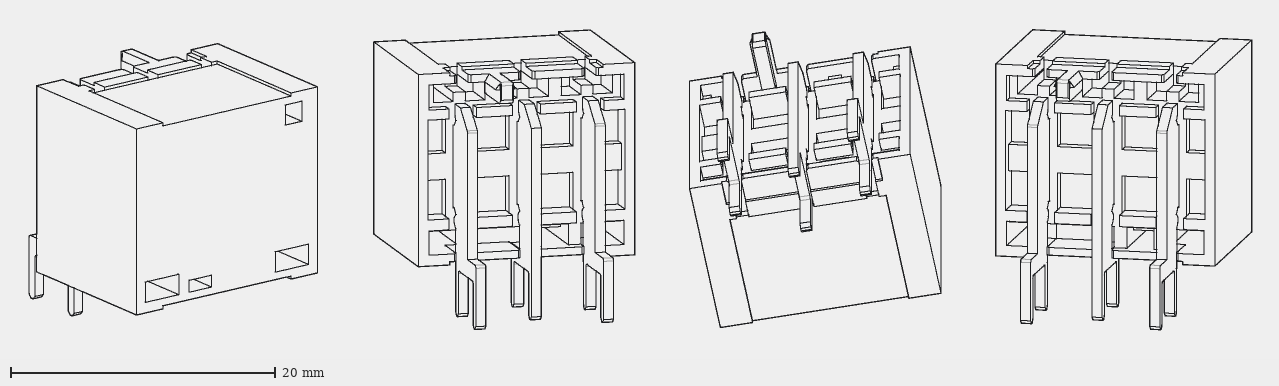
import cadquery as cq


LENGTH = 12.8
WIDTH = 17.0
HEIGHT = 14.85
OVERALL_HEIGHT = 18.9
HALF_WIDTH = WIDTH / 2
WALL = 0.85
CORE_X = 1.0

RELIEF_DEPTH = 0.25
RELIEF_HALF_WIDTH = 6.01
RIDGE_START = 1.95
RIDGE_END = 3.33

PITCH = 5.0
BLADE_ROWS = (-PITCH, 0, PITCH)
BLADE_THICKNESS = 0.8
SLOT_WIDTH = 0.95
SLOT_CHAMFER = 0.17
SLOT_FLOOR_Z = 13.12

OPENING_HALF_WIDTH = HALF_WIDTH - WALL
LID_Z = HEIGHT - WALL
SIDE_UNDERCUT = 0.08

WINDOW_DEPTH = 1.0
WINDOW_WIDTH = 2.84
WINDOW_Y = PITCH / 2
SIDE_WINDOW_INNER_Y = 6.09
LOWER_WINDOW = (3.57, 6.43)
UPPER_WINDOW = (8.47, 11.28)
LOWER_BAR = (2.72, 3.57)
UPPER_BAR = (11.28, 12.05)

TUNNEL_Z = 12.4
TUNNEL_WIDTH = 1.53
TUNNEL_END_X = 4.33

LOWER_CORE_Z = 2.48
VENT_WIDTH = 2.1
VENT_Z = 1.8

KEY_Y = PITCH / 2
KEY_LENGTH = 3.6
KEY_TOP_WIDTH = 0.87
KEY_FLANGE_WIDTH = 1.55
KEY_FLANGE_START_X = -3.33
KEY_STEM_WIDTH = 1.02
KEY_STEM_BOTTOM_Z = 12.95
KEY_STEM_CHAMFER = 0.08
KEY_BOTTOM_CHAMFER = 0.32
KEY_TOP_RADIUS = 0.23

BLADE_REAR_X = -2.82
BLADE_TOP_Z = 12.27
BLADE_TOP_REAR_X = -0.77
BLADE_SHOULDER_Z = 10.81
BLADE_TOP_FRONT_X = 0.81
BLADE_LOW_FRONT_X = 0.62
TONGUE_Z = (4.2, 10.58)
TONGUE_END_X = RIDGE_END
NOTCH_X = 0.53
NOTCH_RUN = 0.43
NOTCH_HEIGHT = 0.74
HEEL_Z = (2.68, 3.02)
ARM_TOP_Z = 0.95
ARM_BOTTOM_Z = -0.43
LEG_WIDTH = 0.8
LEG_BOTTOM_Z = HEIGHT - OVERALL_HEIGHT
LEG_CHAMFER = 0.28
OUTER_LEG_X = -5.2
MIDDLE_LEG_X = BLADE_REAR_X
BEND_RADIUS = 0.2


def block(x, y, z):
    """Box between the given (low, high) pairs along each axis."""
    size = (x[1] - x[0], y[1] - y[0], z[1] - z[0])
    return cq.Workplane("XY").box(*size, centered=False).translate((x[0], y[0], z[0]))


def centred(middle, width):
    """(low, high) pair of the given width about a middle value."""
    return (middle - width / 2, middle + width / 2)


def mirrored(span):
    """The same (low, high) pair on the other side of zero."""
    return (-span[1], -span[0])


def cut_reliefs(body):
    """Sunken areas behind and in front of the ridge, on the top and the underside."""
    width = (-RELIEF_HALF_WIDTH, RELIEF_HALF_WIDTH)
    for x in ((0, RIDGE_START), (RIDGE_END, LENGTH)):
        for z in ((0, RELIEF_DEPTH), (HEIGHT - RELIEF_DEPTH, HEIGHT)):
            body = body.cut(block(x, width, z))
    return body


def cut_recess(body):
    """Rear recess that leaves the frame around the core, wider between the side bars."""
    opening = (-OPENING_HALF_WIDTH, OPENING_HALF_WIDTH)
    wide = (opening[0] - SIDE_UNDERCUT, opening[1] + SIDE_UNDERCUT)
    body = body.cut(block((0, CORE_X), opening, (WALL, LID_Z)))
    return body.cut(block((0, CORE_X), wide, (LOWER_BAR[1], UPPER_BAR[0])))


def add_bars_and_windows(body):
    """Two rows of four blind windows in the core, with a bar above or below each."""
    inner = centred(WINDOW_Y, WINDOW_WIDTH)
    side = (SIDE_WINDOW_INNER_Y, OPENING_HALF_WIDTH + SIDE_UNDERCUT)
    for y in (inner, mirrored(inner), side, mirrored(side)):
        for bar in (LOWER_BAR, UPPER_BAR):
            body = body.union(block((0, CORE_X), y, bar))
        for window in (LOWER_WINDOW, UPPER_WINDOW):
            body = body.cut(block((CORE_X, CORE_X + WINDOW_DEPTH), y, window))
    return body


def cut_tunnels(body):
    """Blind tunnels under the lid; the outermost one on the +Y side passes through."""
    for row in BLADE_ROWS:
        for side in (-1, 1):
            middle = row + side * (SLOT_WIDTH + TUNNEL_WIDTH) / 2
            is_through = row == PITCH and side == 1
            end = LENGTH if is_through else TUNNEL_END_X
            body = body.cut(block((CORE_X, end), centred(middle, TUNNEL_WIDTH), (TUNNEL_Z, LID_Z)))
    return body


def cut_floor_openings(body):
    """Corner passages, the blind pocket on the +Y side and the stepped vent on the -Y side."""
    half_slot = SLOT_WIDTH / 2
    corner = (PITCH - half_slot, OPENING_HALF_WIDTH)
    pocket = (-half_slot, PITCH - half_slot)
    vent = centred(-PITCH / 2, VENT_WIDTH)
    full_height = (WALL, LOWER_CORE_Z)
    for y in (corner, mirrored(corner)):
        body = body.cut(block((CORE_X, LENGTH), y, full_height))
    for y in (pocket, vent):
        body = body.cut(block((CORE_X, RIDGE_END), y, full_height))
    return body.cut(block((CORE_X, LENGTH), vent, (WALL, VENT_Z)))


def slot_cutter(row, z):
    """Slot for one blade, flared at the rear face."""
    half = SLOT_WIDTH / 2
    flared = half + SLOT_CHAMFER
    outline = [(0, -flared), (SLOT_CHAMFER, -half), (RIDGE_END, -half),
               (RIDGE_END, half), (SLOT_CHAMFER, half), (0, flared)]
    return (cq.Workplane("XY").polyline(outline).close()
            .extrude(z[1] - z[0]).translate((0, row, z[0])))


def cut_blade_slots(body):
    """Slots in the lid and the floor, and the socket in the core for each tongue."""
    for row in BLADE_ROWS:
        width = centred(row, SLOT_WIDTH)
        body = body.cut(slot_cutter(row, (LID_Z, HEIGHT)))
        body = body.cut(block((CORE_X, RIDGE_END), width, (SLOT_FLOOR_Z, LID_Z)))
        body = body.cut(slot_cutter(row, (0, WALL)))
        body = body.cut(block((CORE_X, TONGUE_END_X), width, TONGUE_Z))
    return body


def make_key():
    """Dovetail-topped rib on a narrower stem, running rearward from the lid."""
    top_z = HEIGHT - RELIEF_DEPTH
    half_top = KEY_TOP_WIDTH / 2
    half_flange = KEY_FLANGE_WIDTH / 2
    half_stem = KEY_STEM_WIDTH / 2
    corner = half_flange - half_stem
    profile = (cq.Workplane("YZ")
               .polyline([(-half_flange, LID_Z), (half_flange, LID_Z),
                          (half_top, top_z), (-half_top, top_z)]).close()
               .extrude(-KEY_LENGTH))
    nose = (block((-KEY_LENGTH, 0), (-half_stem, half_stem), (LID_Z, top_z))
            .edges("|Z and <X").chamfer(KEY_STEM_CHAMFER)
            .edges(">Z and <X").fillet(KEY_TOP_RADIUS))
    wings = (block((KEY_FLANGE_START_X, 0), (-half_flange, half_flange), (LID_Z, top_z))
             .edges("|Z and <X").chamfer(corner))
    flange = nose.union(wings).intersect(profile)
    stem = (block((-KEY_LENGTH, CORE_X), (-half_stem, half_stem), (KEY_STEM_BOTTOM_Z, LID_Z))
            .edges("|Z and <X").chamfer(KEY_STEM_CHAMFER)
            .edges("<Z and <X").chamfer(KEY_BOTTOM_CHAMFER))
    return flange.union(stem).translate((0, KEY_Y, 0))


def make_housing():
    body = block((0, LENGTH), (-HALF_WIDTH, HALF_WIDTH), (0, HEIGHT))
    body = cut_reliefs(body)
    body = cut_recess(body)
    body = add_bars_and_windows(body)
    body = cut_tunnels(body)
    body = cut_floor_openings(body)
    body = cut_blade_slots(body)
    return body.union(make_key())


def blade_plate(outline, row):
    """Plate of blade thickness, centred on its row, from an outline in x and z."""
    return (cq.Workplane("XZ").polyline(outline).close()
            .extrude(BLADE_THICKNESS / 2, both=True).translate((0, row, 0)))


def make_blade_body(row):
    """Upright plate with a sloped top corner and a tongue between two relief notches."""
    low, high = TONGUE_Z
    return blade_plate([
        (BLADE_REAR_X, ARM_BOTTOM_Z),
        (BLADE_LOW_FRONT_X, ARM_BOTTOM_Z),
        (BLADE_LOW_FRONT_X, HEEL_Z[0]),
        (CORE_X, HEEL_Z[1]),
        (CORE_X, low - NOTCH_HEIGHT),
        (NOTCH_X, low - NOTCH_RUN),
        (CORE_X, low),
        (TONGUE_END_X, low),
        (TONGUE_END_X, high),
        (CORE_X, high),
        (NOTCH_X, high + NOTCH_RUN),
        (BLADE_TOP_FRONT_X, high + NOTCH_HEIGHT),
        (BLADE_TOP_FRONT_X, BLADE_TOP_Z),
        (BLADE_TOP_REAR_X, BLADE_TOP_Z),
        (BLADE_REAR_X, BLADE_SHOULDER_Z),
    ], row)


def make_fork(row, rear_x, top_z):
    """Two solder legs, one blade pitch apart, hanging from a cross arm."""
    front_x = rear_x + PITCH + LEG_WIDTH
    fork = blade_plate([
        (rear_x, LEG_BOTTOM_Z),
        (rear_x + LEG_WIDTH, LEG_BOTTOM_Z),
        (rear_x + LEG_WIDTH, ARM_BOTTOM_Z),
        (front_x - LEG_WIDTH, ARM_BOTTOM_Z),
        (front_x - LEG_WIDTH, LEG_BOTTOM_Z),
        (front_x, LEG_BOTTOM_Z),
        (front_x, top_z),
        (rear_x, top_z),
    ], row)
    fork = fork.faces("<Z").edges("|Y").chamfer(LEG_CHAMFER)
    under_arm = cq.selectors.BoxSelector(
        (rear_x, row - BLADE_THICKNESS, ARM_BOTTOM_Z - BEND_RADIUS),
        (front_x, row + BLADE_THICKNESS, ARM_BOTTOM_Z + BEND_RADIUS))
    return fork.edges("|Y").edges(under_arm).fillet(BEND_RADIUS)


def make_blade(row):
    """Contact blade; the middle one has its legs further forward than the outer two."""
    plate = make_blade_body(row)
    if row == 0:
        return plate.union(make_fork(row, MIDDLE_LEG_X, WALL))
    shoulder = cq.selectors.NearestToPointSelector((BLADE_REAR_X, row, BLADE_SHOULDER_Z))
    plate = plate.edges("|Y").edges(shoulder).fillet(BEND_RADIUS)
    fork = make_fork(row, OUTER_LEG_X, ARM_TOP_Z)
    return plate.union(fork.edges("|Y and >Z and <X").fillet(BEND_RADIUS))


housing = make_housing()
blades = [make_blade(row) for row in BLADE_ROWS]

result = cq.Compound.makeCompound([body.solids().val() for body in (housing, *blades)])